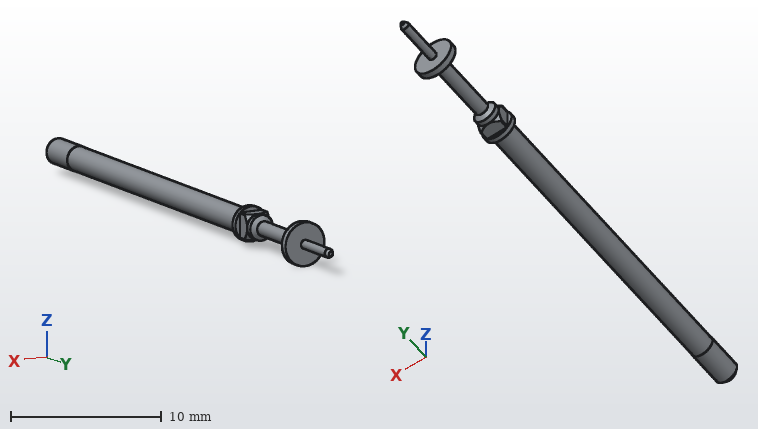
import cadquery as cq

total_length = 36.4

pin_diameter = 0.62
pin_tip_diameter = 0.33
flange_diameter = 3.0
stem_diameter = 1.02
collar_diameter = 2.4
barrel_diameter = 1.7
sleeve_diameter = 1.75
sleeve_end_diameter = 1.15

square_width = 1.75
square_corner_diameter = collar_diameter

neck_diameter = square_width

pin_tip_length = 0.3
pin_length = 3.42
flange_thickness = 0.5
stem_length = 4.95
neck_cone_length = 0.3
neck_length = 0.4
square_length = 1.0
collar_thickness = 0.4
sleeve_length = 3.0
sleeve_chamfer_length = 0.25

square_start = collar_thickness
square_end = square_start + square_length
neck_end = square_end + neck_length
stem_start = neck_end + neck_cone_length
flange_start = stem_start + stem_length
pin_start = flange_start + flange_thickness
pin_end = pin_start + pin_length
sleeve_end = pin_end - total_length
sleeve_start = sleeve_end + sleeve_length


def turned(stations):
    """Revolve (diameter, y) stations about the Y axis, closing the profile on the axis."""
    outline = [(diameter / 2, y) for diameter, y in stations]
    first_y = outline[0][1]
    last_y = outline[-1][1]
    points = [(0, first_y)] + outline + [(0, last_y)]
    return cq.Workplane("XY").polyline(points).close().revolve(360, (0, 0, 0), (0, 1, 0))


def turned_body():
    """Everything round: sleeve, barrel, collar, neck, stem, flange and pin."""
    return turned([
        (sleeve_end_diameter, sleeve_end),
        (sleeve_diameter, sleeve_end + sleeve_chamfer_length),
        (sleeve_diameter, sleeve_start),
        (barrel_diameter, sleeve_start),
        (barrel_diameter, 0),
        (collar_diameter, 0),
        (collar_diameter, collar_thickness),
        (neck_diameter, collar_thickness),
        (neck_diameter, neck_end),
        (stem_diameter, stem_start),
        (stem_diameter, flange_start),
        (flange_diameter, flange_start),
        (flange_diameter, pin_start),
        (pin_diameter, pin_start),
        (pin_diameter, pin_end - pin_tip_length),
        (pin_tip_diameter, pin_end),
    ])


def square_section():
    """Square with turned corners, bevelled at 45 degrees down to the neck."""
    bevel_length = (square_corner_diameter - neck_diameter) / 2
    square = cq.Workplane("XY").box(
        square_width, square_length, square_width, centered=(True, False, True)
    ).translate((0, square_start, 0))
    envelope = turned([
        (square_corner_diameter, square_start),
        (square_corner_diameter, square_end - bevel_length),
        (neck_diameter, square_end),
    ])
    return square.intersect(envelope)


result = turned_body().union(square_section())